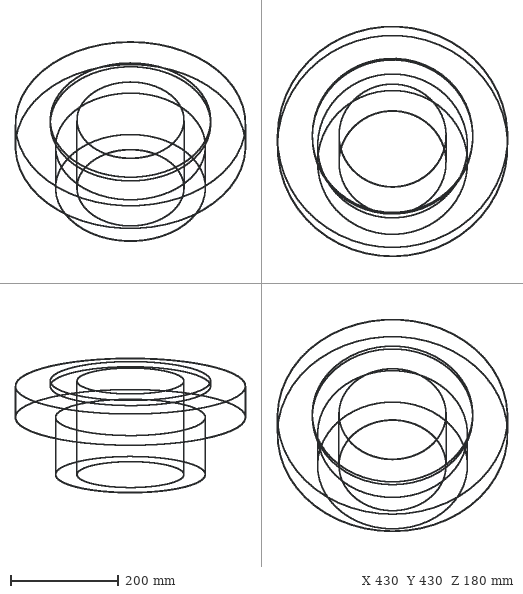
import cadquery as cq

flange_diameter = 430.0
flange_thickness = 60.0
face_diameter = 299.5
face_height = 10.0
hub_diameter = 280.0
total_height = 180.0
bore_diameter = 200.0

hub_length = total_height - flange_thickness - face_height


def disc(diameter, height, base_z):
    """Solid cylinder on the Z axis, standing on base_z."""
    return cq.Workplane("XY").workplane(offset=base_z).circle(diameter / 2).extrude(height)


hub = disc(hub_diameter, hub_length, 0)
flange = disc(flange_diameter, flange_thickness, hub_length)
raised_face = disc(face_diameter, face_height, hub_length + flange_thickness)

bore = disc(bore_diameter, total_height, 0)

result = hub.union(flange).union(raised_face).cut(bore)